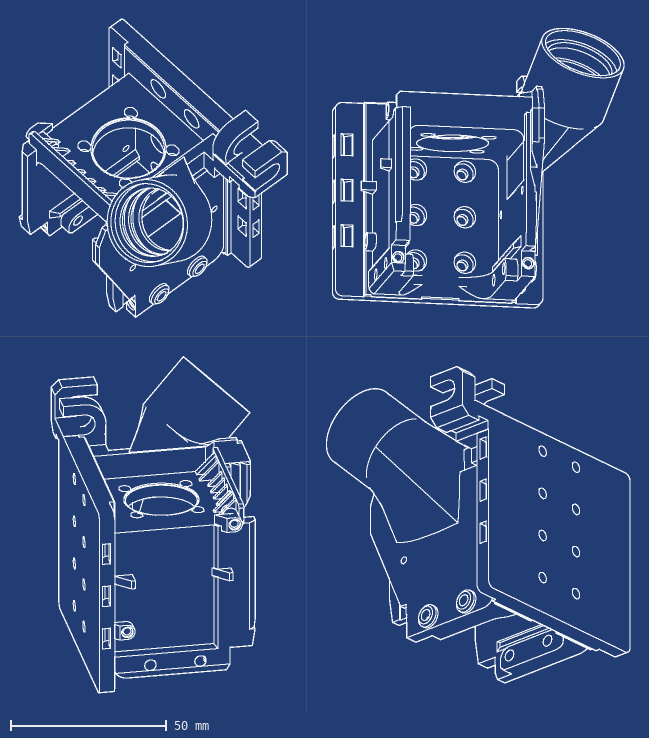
import cadquery as cq
import math


EPS = 0.5

PLATE_W = 68.0
PLATE_T = 5.0
PLATE_Z = (0.3, 64.1)
PLATE_CORNER_R = 2.3
PAD_X = (9.2, 59.0)
PAD_FRONT = 6.9
PAD_EDGE = 0.4
MID_X = PLATE_W / 2

SCREW_D = 3.5
SCREW_HEAD_D = 7.0
SCREW_HEAD_SEAT = 3.0
SCREW_COLUMN_GAP = 16.0
SCREW_ROW_GAP = 15.0
SCREW_ROW_Z0 = 12.6
SCREW_ROWS = 4

SLOT_H = 7.1
SLOT_Z0 = 20.2
SLOT_ROWS = 3
SLOT_DEPTH = (1.0, 3.6)
SLOT_MOUTH_X = (1.8, 5.8)
SLOT_RAMP = 2.0
SLOT_BEVEL = 1.1

INNER_X = (15.0, 53.0)
LEFT_FACE = 10.5
RECESS_FACE = 11.8
RIGHT_FACE = 57.5
BOX_FRONT = 49.5
CEILING_Z = (47.0, 51.7)
WALL_BOTTOM = 8.3
INNER_CORNER_R = 3.5
RECESS_FRONT = 39.7
RECESS_BEVEL_W = 1.1
RECESS_BEVEL_H = 1.3

PORT_DEPTH = 26.9
PORT_D = 23.1
PORT_RIM = 0.5
PORT_SCREW_GAP = 20.0
PORT_SCREW_D = 3.7
PORT_SCREW_LENGTH = 4.5

BAR_X = (11.4, 56.4)
BAR_BACK = 47.9
BAR_TOP = 58.0
BAR_CORNER = 1.0
GUSSET_T = 1.4
LONG_GUSSET = 6.3
SHORT_GUSSET = 4.4
LONG_GUSSET_X = (16.2, 21.0, 45.0)
SHORT_GUSSET_X = (25.8, 30.7, 35.5, 40.3)
END_GUSSET_X = 49.8

UPPER_X = (52.3, 55.9)
UPPER_TOP = 60.1
UPPER_FRONT = 45.0
CHEEK_X = 55.7
ARM_FRONT = 53.4
ARM_TOP = 52.0
ARM_KNEE_Z = 16.9
ARM_HEEL = 52.1
ARM_BEVEL = (12.4, 51.2)
ARM_BEVEL_BOTTOM = 14.2
CHEEK_TOP_FRONT = 56.0
CHEEK_STEP_FRONT = 57.7
CHEEK_STEP_Z = 58.8
CHEEK_FRONT = 60.4
CHEEK_TAPER_TOP = 42.0
CHEEK_TOE = (47.4, 12.0)

TEETH = ((53.9, 56.4, 56.6), (56.6, 58.8, 59.9))
TOOTH_TIP_X = 53.6

SKIRT_FRONT = 44.8
SKIRT_BACK_R = 4.7
SKIRT_BEVEL_W = 1.0
SKIRT_BEVEL_H = 2.5
PIN_D = 3.7
PIN_DEPTHS = (18.7, 35.1)
PIN_Z = 4.4
LUG_D = 7.6
LUG_X = 59.2
LUG_CHAMFER = 0.8
END_SCREW_D = 2.5
END_SCREW_LENGTH = 8.0
HINGE_W = 3.9
HINGE_TOP = 7.7
HINGE_FRONT = 39.0
CHIN_CHAMFER = 1.3
ROOT_R = 9.0

RAIL_Z = (9.9, 13.5)
RAIL_W = 1.9
RAIL_LIP = 1.7
RAIL_FRONT = 44.0
RAIL_POINT = 3.0

BORE_MOUTH_D = 3.7
BORE_MOUTH_L = 0.8

HOOK_TIP_X = 7.0
HOOK_Z = (33.7, 36.5)
HOOK_FRONTS = (13.1, 45.1)
HOOK_TIP_W = 1.2
BOSS_X = 8.9
BOSS_D = 5.0
BOSS_BORE_D = 2.5
BOSS_BORE_LENGTH = 6.0
LOW_BOSS = (10.9, 17.5)
HIGH_BOSS = (46.0, 52.5)
HIGH_BOSS_END = 18.9
SIDE_HOLE_D = 2.3
SIDE_HOLE_Z = 28.0

CLIP_X = (60.3, 80.5)
CLIP_W = 6.1
CLIP_FRONT = 13.9
CLIP_BORE_D = 7.0
CLIP_AXIS = (6.9, 67.7)
CLIP_R = 7.1
CLIP_BASE_TOP = CLIP_AXIS[1] - CLIP_BORE_D / 2
CLIP_BEVEL = 2.4
CLIP_EDGE = 0.8
CLIP_NOTCH_X = (68.2, 72.7)
CLIP_BASE_Z = 56.2
CLIP_NOTCH_H = 3.0
CLIP_TOE_Z = 57.7
CLIP_TOE_W = 3.0
CLIP_TOE_H = 2.7

SOCKET_D = 28.0
SOCKET_L = 20.0
SOCKET_TILT = math.radians(11.0)
SOCKET_MOUTH = (71.62, 52.38, 72.58)
MOUTH_D = 25.4
MOUTH_L = 3.5
THREAD_CREST_D = 22.0
THREAD_ROOT_D = 25.0
THREAD_PITCH = 7.0
THREAD_CREST_L = 2.0
THREAD_TURNS = 2
SOCKET_BORE_D = 20.7
DUCT_DEPTH = (20.0, 49.4)
DUCT_Z = (29.5, UPPER_TOP)
DUCT_WALL = 1.2


def block(x, depth, z):
    """Box between pairs of X, depth and Z limits."""
    size = (x[1] - x[0], depth[1] - depth[0], z[1] - z[0])
    return cq.Workplane("XY").box(*size, centered=False).translate((x[0], -depth[1], z[0]))


def prism_z(outline, z):
    """Extrude an (x, depth) outline between two heights."""
    points = [(x, -depth) for x, depth in outline]
    return cq.Workplane("XY").workplane(offset=z[0]).polyline(points).close().extrude(z[1] - z[0])


def prism_x(outline, x):
    """Extrude a (depth, z) outline between two X positions."""
    points = [(-depth, z) for depth, z in outline]
    return cq.Workplane("YZ").workplane(offset=x[0]).polyline(points).close().extrude(x[1] - x[0])


def prism_y(outline, depth):
    """Extrude an (x, z) outline between two depths."""
    plane = cq.Workplane("XZ").workplane(offset=depth[0])
    return plane.polyline(outline).close().extrude(depth[1] - depth[0])


def rod_x(center, diameter, x):
    """Cylinder along X about a (depth, z) center."""
    plane = cq.Workplane("YZ").workplane(offset=x[0])
    return plane.center(-center[0], center[1]).circle(diameter / 2).extrude(x[1] - x[0])


def rod_y(center, diameter, depth):
    """Cylinder along Y about an (x, z) center."""
    plane = cq.Workplane("XZ").workplane(offset=depth[0])
    return plane.center(*center).circle(diameter / 2).extrude(depth[1] - depth[0])


def mirror_x(shape):
    """Mirror across the middle of the plate."""
    return shape.mirror("YZ", (MID_X, 0, 0))


def make_plate():
    plate = block((0, PLATE_W), (0, PLATE_T), PLATE_Z).edges("|Y").fillet(PLATE_CORNER_R)
    pad = block(PAD_X, (PLATE_T - EPS, PAD_FRONT), PLATE_Z).faces("<Y").edges().chamfer(PAD_EDGE)
    return plate.union(pad)


def strap_slots():
    """Strap channels turning from the front of the plate to its side edges."""
    back, front = SLOT_DEPTH
    x0, x1 = SLOT_MOUTH_X
    channel = [(-EPS, back), (x1 - SLOT_RAMP, back), (x1, back + SLOT_RAMP), (x1, PLATE_T + EPS),
               (x0, PLATE_T + EPS), (x0, PLATE_T), (x0 + SLOT_BEVEL, front), (-EPS, front)]
    slots = cq.Workplane("XY")
    for row in range(SLOT_ROWS):
        z = SLOT_Z0 + row * SCREW_ROW_GAP
        slot = prism_z(channel, (z - SLOT_H / 2, z + SLOT_H / 2))
        slots = slots.add(slot).add(mirror_x(slot))
    return slots.combine()


def plate_screws():
    screws = cq.Workplane("XY")
    for side in (-1, 1):
        for row in range(SCREW_ROWS):
            center = (MID_X + side * SCREW_COLUMN_GAP / 2, SCREW_ROW_Z0 + row * SCREW_ROW_GAP)
            screws = screws.add(rod_y(center, SCREW_D, (-EPS, PAD_FRONT + EPS)))
            screws = screws.add(rod_y(center, SCREW_HEAD_D, (SCREW_HEAD_SEAT, PAD_FRONT + EPS)))
    return screws.combine()


def make_box():
    depth = (PAD_FRONT - EPS, BOX_FRONT)
    shell = block((LEFT_FACE, RIGHT_FACE), depth, (WALL_BOTTOM, CEILING_Z[1]))
    cavity = block(INNER_X, (PAD_FRONT, BOX_FRONT + EPS), (WALL_BOTTOM - EPS, CEILING_Z[0]))
    cavity = cavity.edges("|Y and >Z").fillet(INNER_CORNER_R)
    cheek_relief = block((CHEEK_X, RIGHT_FACE), (UPPER_FRONT, BOX_FRONT), (WALL_BOTTOM, CEILING_Z[1]))
    return shell.cut(cavity).cut(side_recess()).cut(cheek_relief)


def side_recess():
    """Shallow recess in the left face with beveled front and bottom edges."""
    def outline(x, grow_front, grow_down):
        front = RECESS_FRONT + grow_front
        bottom = WALL_BOTTOM + RECESS_BEVEL_H - grow_down
        top = CEILING_Z[1] + EPS
        points = [(PAD_FRONT, bottom), (front, bottom), (front, top), (PAD_FRONT, top)]
        return cq.Wire.makePolygon([cq.Vector(x, -d, z) for d, z in points], close=True)
    inner = outline(RECESS_FACE, 0, 0)
    outer = outline(LEFT_FACE, RECESS_BEVEL_W, RECESS_BEVEL_H)
    return cq.Workplane("XY").add(cq.Solid.makeLoft([outer, inner], True))


def fan_port():
    z0 = CEILING_Z[0] - EPS
    height = CEILING_Z[1] - z0 + EPS
    plane = cq.Workplane("XY", origin=(MID_X, -PORT_DEPTH, z0))
    bore = plane.circle(PORT_D / 2).extrude(height)
    rim = cq.Workplane("XY", origin=(MID_X, -PORT_DEPTH, CEILING_Z[1] - PORT_RIM))
    rim = rim.circle(PORT_D / 2 + PORT_RIM).extrude(PORT_RIM + EPS)
    screws = plane.rarray(PORT_SCREW_GAP, PORT_SCREW_GAP, 2, 2)
    screws = screws.slot2D(PORT_SCREW_LENGTH, PORT_SCREW_D).extrude(height)
    return bore.union(rim).union(screws)


def make_crossbar():
    bar = block(BAR_X, (BAR_BACK, BOX_FRONT), (CEILING_Z[0], BAR_TOP))
    bar = bar.edges("|Y and <X and >Z").chamfer(BAR_CORNER)
    for starts, length in ((LONG_GUSSET_X, LONG_GUSSET), (SHORT_GUSSET_X, SHORT_GUSSET)):
        for x in starts:
            bar = bar.union(gusset((x, x + GUSSET_T), length))
    return bar.union(gusset((END_GUSSET_X, UPPER_X[0]), LONG_GUSSET))


def gusset(x, length):
    """Rib behind the crossbar with a 45 degree back edge."""
    base = CEILING_Z[1] - EPS
    foot = BAR_BACK - length
    top = CEILING_Z[1] + length
    return prism_x([(foot - EPS, base), (BAR_BACK + EPS, base), (BAR_BACK + EPS, top), (BAR_BACK, top)], x)


def make_upper_wall():
    """Right wall above the box, narrowing at 45 degrees into the cheek."""
    x0, x1 = UPPER_X
    bevel = CHEEK_X - x0
    outline = [(x0, PAD_FRONT - EPS), (CLIP_X[0] + EPS, PAD_FRONT - EPS), (CLIP_X[0] + EPS, CLIP_FRONT),
               (x1, CLIP_FRONT), (x1, UPPER_FRONT), (RIGHT_FACE, UPPER_FRONT),
               (RIGHT_FACE, UPPER_FRONT + bevel), (CHEEK_X, UPPER_FRONT + bevel), (x0, UPPER_FRONT)]
    return prism_z(outline, (CEILING_Z[1] - EPS, UPPER_TOP))


def make_cheek():
    """Thin plate along the outer face of the right wall, tapering toward the bottom."""
    outline = [(UPPER_FRONT - EPS, UPPER_TOP), (CHEEK_TOP_FRONT, UPPER_TOP),
               (CHEEK_TOP_FRONT, CHEEK_STEP_Z), (CHEEK_STEP_FRONT, CHEEK_STEP_Z),
               (CHEEK_FRONT, ARM_TOP), (CHEEK_FRONT, CHEEK_TAPER_TOP), CHEEK_TOE,
               (UPPER_FRONT - EPS, CHEEK_TOE[1])]
    return prism_x(outline, (CHEEK_X, RIGHT_FACE))


def arm_outline(x):
    """Side outline of an arm, leaning back at the bottom."""
    back = BOX_FRONT - EPS
    outline = [(back, ARM_TOP), (ARM_FRONT, ARM_TOP), (ARM_FRONT, ARM_KNEE_Z), (ARM_HEEL, WALL_BOTTOM),
               (back, WALL_BOTTOM)]
    return prism_x(outline, x)


def make_arms():
    """Front arms on both walls, with the cheek and its sawtooth grips on the right."""
    x0, x1 = LEFT_FACE, INNER_X[0]
    bevel_x, bevel_depth = ARM_BEVEL
    corner = [(x0, bevel_depth), (bevel_x, ARM_FRONT), (x0, ARM_FRONT)]
    left = arm_outline((x0, x1)).cut(prism_z(corner, (ARM_BEVEL_BOTTOM, ARM_TOP)))
    right = arm_outline((INNER_X[1], CHEEK_X + EPS))
    cheek = make_cheek()
    tooth_x = (TOOTH_TIP_X, RIGHT_FACE)
    for back, tip, front in TEETH:
        outline = [(CHEEK_X + EPS, back), (CHEEK_X, back), (TOOTH_TIP_X, tip), (TOOTH_TIP_X, front),
                   (CHEEK_X + EPS, front)]
        tooth = prism_z(outline, (CHEEK_TOE[1], ARM_TOP))
        under = [(CHEEK_TOE[0], CHEEK_TOE[1]), (CHEEK_FRONT, CHEEK_TAPER_TOP), (CHEEK_FRONT, CHEEK_TOE[1])]
        right = right.union(tooth.cut(prism_x(under, tooth_x)))
    return left.union(right).union(cheek)


def make_skirts():
    depth = (PAD_FRONT - EPS, SKIRT_FRONT)
    left = block((LEFT_FACE, INNER_X[0]), depth, (0, WALL_BOTTOM))
    bevel = [(LEFT_FACE, 0), (LEFT_FACE + SKIRT_BEVEL_W, 0), (LEFT_FACE, SKIRT_BEVEL_H)]
    left = left.cut(prism_y(bevel, depth))
    toe = [(SKIRT_FRONT, 0), (SKIRT_FRONT, SKIRT_BEVEL_H), (SKIRT_FRONT - SKIRT_BEVEL_W, 0)]
    left = left.cut(prism_x(toe, (LEFT_FACE, INNER_X[0])))
    right = block((INNER_X[1], RIGHT_FACE), depth, (0, WALL_BOTTOM))
    for pin_depth in PIN_DEPTHS:
        lug = rod_x((pin_depth, PIN_Z), LUG_D, (RIGHT_FACE - EPS, LUG_X))
        right = right.union(lug.faces(">X").edges().chamfer(LUG_CHAMFER))
    return left.union(right).union(make_hinge_bars()).cut(skirt_back_relief())


def skirt_back_relief():
    """Rounds the lower back corner of the skirts and hinge bars."""
    x = (LEFT_FACE, RIGHT_FACE)
    corner = block(x, (PAD_FRONT, PAD_FRONT + SKIRT_BACK_R), (0, SKIRT_BACK_R))
    center = (PAD_FRONT + SKIRT_BACK_R, SKIRT_BACK_R)
    return corner.cut(rod_x(center, 2 * SKIRT_BACK_R, x))


def make_hinge_bars():
    """Round-nosed bars inside the skirts, flaring into the pad at the back."""
    x0 = INNER_X[0]
    x1 = x0 + HINGE_W
    nose_r = HINGE_TOP / 2
    bar = block((x0 - EPS, x1), (PAD_FRONT - EPS, HINGE_FRONT - nose_r), (0, HINGE_TOP))
    bar = bar.union(rod_x((HINGE_FRONT - nose_r, nose_r), HINGE_TOP, (x0 - EPS, x1)))
    chin = block((x0 - EPS, x1), (HINGE_FRONT - HINGE_TOP, HINGE_FRONT), (0, nose_r))
    bar = bar.union(chin.edges("<Y and <Z").chamfer(CHIN_CHAMFER))
    flare = block((x1 - EPS, x1 + ROOT_R), (PAD_FRONT - EPS, PAD_FRONT + ROOT_R), (0, HINGE_TOP))
    hollow = cq.Workplane("XY").center(x1 + ROOT_R, -PAD_FRONT - ROOT_R).circle(ROOT_R).extrude(HINGE_TOP)
    bar = bar.union(flare.cut(hollow))
    return bar.union(mirror_x(bar))


def skirt_holes():
    holes = cq.Workplane("XY")
    for depth in PIN_DEPTHS:
        holes = holes.add(rod_x((depth, PIN_Z), PIN_D, (0, PLATE_W)))
    for x in ((LEFT_FACE + INNER_X[0]) / 2, (RIGHT_FACE + INNER_X[1]) / 2):
        center = (x, PIN_Z)
        holes = holes.add(rod_y(center, END_SCREW_D, (SKIRT_FRONT - END_SCREW_LENGTH, SKIRT_FRONT)))
        holes = holes.add(rod_y(center, BORE_MOUTH_D, (SKIRT_FRONT - BORE_MOUTH_L, SKIRT_FRONT + EPS)))
    return holes.combine()


def make_rails():
    """Pointed guide rails on the inner faces of both walls."""
    x0 = INNER_X[0]
    z0, z1 = RAIL_Z
    section = [(x0 - EPS, z0), (x0 + RAIL_W, z0), (x0 + RAIL_W, z0 + RAIL_LIP), (x0, z1), (x0 - EPS, z1)]
    rail = prism_y(section, (PAD_FRONT - EPS, RAIL_FRONT))
    point = [(x0, RAIL_FRONT), (x0 + RAIL_W, RAIL_FRONT - RAIL_POINT), (x0 + RAIL_W, RAIL_FRONT)]
    rail = rail.cut(prism_z(point, RAIL_Z))
    return rail.union(mirror_x(rail))


def make_hooks():
    root = RECESS_FACE + EPS
    hooks = cq.Workplane("XY")
    for front in HOOK_FRONTS:
        shoulder = front - HOOK_TIP_W
        outline = [(root, front), (HOOK_TIP_X, front), (HOOK_TIP_X, shoulder),
                   (root, shoulder - (root - HOOK_TIP_X))]
        hooks = hooks.add(prism_z(outline, HOOK_Z))
    return hooks.combine()


def make_boss(center, end_x):
    """Screw boss along X with a wedge running back to the left face."""
    depth, z = center
    root = RECESS_FACE + EPS
    shoulder = depth - BOSS_D / 2
    wedge = [(BOSS_X, depth), (BOSS_X, shoulder), (root, shoulder - (root - BOSS_X)), (root, depth)]
    boss = prism_z(wedge, (z - BOSS_D / 2, z + BOSS_D / 2))
    return boss.union(rod_x(center, BOSS_D, (BOSS_X, end_x)))


def boss_holes():
    holes = cq.Workplane("XY")
    for center in (LOW_BOSS, HIGH_BOSS):
        holes = holes.add(rod_x(center, BOSS_BORE_D, (BOSS_X, BOSS_X + BOSS_BORE_LENGTH)))
        holes = holes.add(rod_x(center, BORE_MOUTH_D, (BOSS_X - EPS, BOSS_X + BORE_MOUTH_L)))
        wall = (INNER_X[1] - EPS, RIGHT_FACE + EPS)
        holes = holes.add(rod_x((center[0], SIDE_HOLE_Z), SIDE_HOLE_D, wall))
    return holes.combine()


def make_clips():
    """Two C-shaped hinge clips that open in opposite directions, on a notched base."""
    x0, x1 = CLIP_X
    n0, n1 = CLIP_NOTCH_X
    notch_z = CLIP_BASE_Z + CLIP_NOTCH_H
    toe = CLIP_TOE_Z
    base = prism_y([(x0, CLIP_BASE_Z), (n0, CLIP_BASE_Z), (n0, notch_z), (n1, notch_z), (n1, toe),
                    (x1 - CLIP_TOE_W, toe), (x1, toe + CLIP_TOE_H), (x1, CLIP_BASE_TOP), (x0, CLIP_BASE_TOP)],
                   (0, CLIP_FRONT))
    base = base.faces("<Y").edges(">Z").chamfer(CLIP_EDGE)
    depth, z = CLIP_AXIS
    top = z + CLIP_R
    low = CLIP_BASE_TOP - EPS
    near_x = (x0, x0 + CLIP_W)
    near = block(near_x, (0, depth), (low, top)).union(rod_x(CLIP_AXIS, 2 * CLIP_R, near_x))
    near = near.union(block(near_x, (depth, CLIP_FRONT), (low, z)))
    near = near.cut(block(near_x, (-EPS, depth), (z - CLIP_BORE_D / 2, z + CLIP_BORE_D / 2)))
    far_x = (x1 - CLIP_W, x1)
    far_outline = [(0, low), (CLIP_FRONT, low), (CLIP_FRONT, top), (CLIP_BEVEL, top), (0, top - CLIP_BEVEL)]
    far = prism_x(far_outline, far_x)
    mouth = (depth, CLIP_FRONT + EPS)
    far = far.cut(block(far_x, mouth, (z - CLIP_BORE_D / 2, z + CLIP_BORE_D / 2)))
    clips = near.union(far).cut(rod_x(CLIP_AXIS, CLIP_BORE_D, CLIP_X))
    return base.union(clips)


def socket_frame():
    """Mouth center and the socket's axis, climb and side directions."""
    x, depth, z = SOCKET_MOUTH
    rise = math.cos(SOCKET_TILT) / math.sqrt(2)
    axis = cq.Vector(math.sin(SOCKET_TILT), -rise, rise)
    climb = cq.Vector(0, 1, 1).normalized()
    return cq.Vector(x, -depth, z), axis, climb, climb.cross(axis)


def socket_rod(diameter, start, length):
    """Cylinder down the socket axis, beginning a given distance below the mouth."""
    mouth, axis = socket_frame()[:2]
    rod = cq.Solid.makeCylinder(diameter / 2, length, mouth - axis * start, axis * -1)
    return cq.Workplane("XY").add(rod)


def duct(diameter, depth, z):
    """Loft from a rectangle on the inner wall face to the inner end of the socket."""
    mouth, axis, climb, side = socket_frame()
    end = mouth - axis * SOCKET_L
    radius = diameter / 2
    x = INNER_X[1]
    corners = [(depth[0], z[1]), (depth[1], z[1]), (depth[1], z[0]), (depth[0], z[0])]
    rectangle = cq.Wire.makePolygon([cq.Vector(x, -d, height) for d, height in corners], close=True)
    spokes = [climb, side * -1, climb * -1, side]
    arcs = []
    for here, after in zip(spokes, spokes[1:] + spokes[:1]):
        middle = (here + after).normalized()
        points = [end + spoke * radius for spoke in (here, middle, after)]
        arcs.append(cq.Edge.makeThreePointArc(*points))
    ring = cq.Wire.assembleEdges(arcs)
    return cq.Workplane("XY").add(cq.Solid.makeLoft([rectangle, ring], True))


def make_socket():
    """Socket and duct, with the duct trimmed flush with the bevel of the upper wall."""
    x0 = UPPER_X[0]
    bevel_end = UPPER_FRONT + CHEEK_X - x0
    trim = prism_z([(x0, UPPER_FRONT), (CHEEK_X, bevel_end), (CHEEK_X, DUCT_DEPTH[1] + EPS),
                    (x0, DUCT_DEPTH[1] + EPS)], (CEILING_Z[1], UPPER_TOP + EPS))
    return socket_rod(SOCKET_D, 0, SOCKET_L).union(duct(SOCKET_D, DUCT_DEPTH, DUCT_Z).cut(trim))


def socket_bore():
    inner_depth = (DUCT_DEPTH[0] + DUCT_WALL, DUCT_DEPTH[1] - DUCT_WALL)
    inner_z = (DUCT_Z[0] + DUCT_WALL, CEILING_Z[0])
    bore = duct(SOCKET_BORE_D, inner_depth, inner_z)
    bore = bore.union(socket_rod(SOCKET_BORE_D, 0, SOCKET_L + EPS))
    bore = bore.union(socket_rod(MOUTH_D, -EPS, MOUTH_L + EPS))
    bore = bore.union(socket_rod(THREAD_CREST_D, 0, MOUTH_L + THREAD_TURNS * THREAD_PITCH))
    for turn in range(THREAD_TURNS):
        start = MOUTH_L + turn * THREAD_PITCH + THREAD_CREST_L
        bore = bore.union(socket_rod(THREAD_ROOT_D, start, THREAD_PITCH - THREAD_CREST_L))
    return bore


part = make_plate()
for feature in (make_box(), make_upper_wall(), make_crossbar(), make_arms(), make_skirts(), make_rails(),
                make_hooks(), make_boss(LOW_BOSS, INNER_X[0]), make_boss(HIGH_BOSS, HIGH_BOSS_END),
                make_clips(), make_socket()):
    part = part.union(feature)
for opening in (strap_slots(), plate_screws(), fan_port(), skirt_holes(), boss_holes(), socket_bore()):
    part = part.cut(opening)

result = cq.Workplane(obj=part.solids().val())